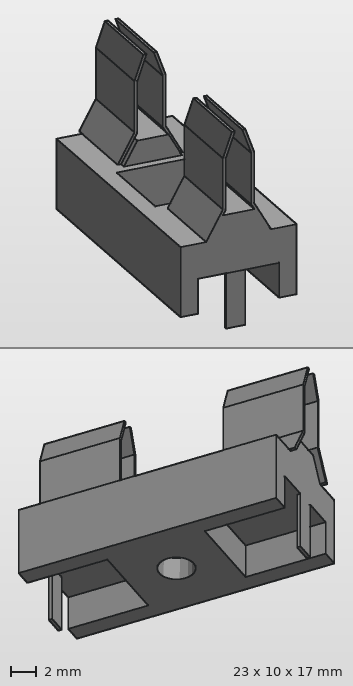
import cadquery as cq
import math

total_length = 23.0
clip_overhang = 0.5
body_length = total_length - clip_overhang
body_width = 10.0
body_height = 6.0
body_start = clip_overhang
body_center = body_start + body_length / 2

clip_length = 7.0
seat_half_base = 2.5
seat_height = 2.0
flank_angle = math.radians(30)
tip_angle = math.radians(20)
clip_height = 9.0
clip_thickness = 0.25
clip_half_gap = 1.1
upper_bend_height = 6.88

pin_thickness = 0.3
pin_width = 1.65
pin_drop = 2.0
pin_positions = (body_start, total_length - clip_overhang - pin_thickness)

slot_width = 7.0
slot_height = 3.0
slot_length = clip_length
pocket_size = 7.0
pocket_depth = 4.0
hole_diameter = 3.0


def box(start_x, length, width, bottom, height):
    """Box centred on Y = 0."""
    return (
        cq.Workplane("XY")
        .box(length, width, height, centered=(False, True, False))
        .translate((start_x, 0, bottom))
    )


def prism(points, start_x):
    """Extrude a YZ outline, measured from the body top, over one clip length."""
    return (
        cq.Workplane("YZ", origin=(start_x, 0, body_height))
        .polyline(points)
        .close()
        .extrude(clip_length)
    )


def make_body():
    body = box(body_start, body_length, body_width, 0, body_height)
    for start in (body_start, total_length - slot_length):
        body = body.cut(box(start, slot_length, slot_width, 0, slot_height))
    pocket_start = body_center - pocket_size / 2
    pocket_floor = body_height - pocket_depth
    body = body.cut(box(pocket_start, pocket_size, pocket_size, pocket_floor, pocket_depth))
    hole = cq.Workplane("XY").center(body_center, 0).circle(hole_diameter / 2).extrude(body_height)
    return body.cut(hole)


def make_seat(start_x):
    half_top = seat_half_base - seat_height * math.tan(flank_angle)
    return prism(
        [
            (-seat_half_base, 0),
            (seat_half_base, 0),
            (half_top, seat_height),
            (-half_top, seat_height),
        ],
        start_x,
    )


def make_clip_leaf(start_x):
    """Bent sheet lying on the +Y flank of a seat."""
    outer_half = clip_half_gap + clip_thickness
    outer_half_base = seat_half_base + clip_thickness / math.cos(flank_angle)
    inner_knee = (seat_half_base - clip_half_gap) / math.tan(flank_angle)
    outer_knee = (outer_half_base - outer_half) / math.tan(flank_angle)
    inner_bend_height = upper_bend_height - clip_thickness * math.tan(tip_angle / 2)
    outer_tip = outer_half - (clip_height - upper_bend_height) * math.tan(tip_angle)
    inner_tip = outer_tip - clip_thickness / math.cos(tip_angle)
    return prism(
        [
            (seat_half_base, 0),
            (outer_half_base, 0),
            (outer_half, outer_knee),
            (outer_half, upper_bend_height),
            (outer_tip, clip_height),
            (inner_tip, clip_height),
            (clip_half_gap, inner_bend_height),
            (clip_half_gap, inner_knee),
        ],
        start_x,
    )


def make_pin(start_x):
    """Pin running from the slot ceiling to below the body."""
    return box(start_x, pin_thickness, pin_width, -pin_drop, pin_drop + slot_height)


result = make_body()
for seat_start in (body_start, total_length - clip_length):
    result = result.union(make_seat(seat_start))
for clip_start in (0, total_length - clip_length):
    leaf = make_clip_leaf(clip_start)
    result = result.union(leaf).union(leaf.mirror("XZ"))
for pin_start in pin_positions:
    result = result.union(make_pin(pin_start))